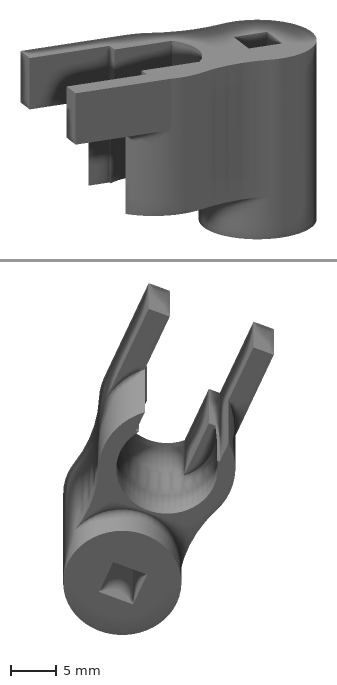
import cadquery as cq
import math

total_height = 21.0
body_height = 16.0
arm_height = 6.0
guide_height = 8.0
lower_bore_height = 4.25
body_bottom = total_height - body_height
arm_bottom = total_height - arm_height

body_radius = 7.5
boss_radius = 13.0 / 2
arm_end_y = -12.72
overall_length = 31.8
boss_x = -0.1
boss_y = overall_length + arm_end_y - boss_radius
neck_radius = 15.0
right_arm_outer_x = 7.4
slot_half_width = 5.0
slot_end_y = -3.1
guide_half_gap = 3.7
upper_bore_radius = 5.35
lower_bore_radius = 5.6
square_side = 4.05


def cylinder(x, y, radius, bottom, top):
    return cq.Workplane("XY", origin=(x, y, bottom)).circle(radius).extrude(top - bottom)


def block(x_min, x_max, y_min, y_max, bottom, top):
    size = (x_max - x_min, y_max - y_min, top - bottom)
    return cq.Workplane("XY").box(*size, centered=False).translate((x_min, y_min, bottom))


def neck_arc(side):
    """Start, middle and end of the concave arc tangent to body and boss; side is -1 or 1."""
    spacing = math.hypot(boss_x, boss_y)
    from_body = body_radius + neck_radius
    from_boss = boss_radius + neck_radius
    along = (from_body**2 - from_boss**2 + spacing**2) / (2 * spacing)
    across = side * math.sqrt(from_body**2 - along**2)
    axis_x = boss_x / spacing
    axis_y = boss_y / spacing
    center_x = along * axis_x + across * axis_y
    center_y = along * axis_y - across * axis_x
    start = (center_x * body_radius / from_body, center_y * body_radius / from_body)
    middle = (center_x - side * neck_radius, center_y)
    end = (
        boss_x + (center_x - boss_x) * boss_radius / from_boss,
        boss_y + (center_y - boss_y) * boss_radius / from_boss,
    )
    return start, middle, end


def neck():
    left_start, left_middle, left_end = neck_arc(-1)
    right_start, right_middle, right_end = neck_arc(1)
    outline = (
        cq.Workplane("XY", origin=(0, 0, body_bottom))
        .moveTo(*left_start)
        .threePointArc(left_middle, left_end)
        .lineTo(*right_end)
        .threePointArc(right_middle, right_start)
        .close()
    )
    return outline.extrude(body_height)


def bore():
    """Upper bore widening through a cone to the lower bore, narrowed by guides near the top."""
    cone_bottom = body_bottom + lower_bore_height
    guide_bottom = total_height - guide_height
    profile = [
        (0, body_bottom),
        (lower_bore_radius, body_bottom),
        (lower_bore_radius, cone_bottom),
        (upper_bore_radius, arm_bottom),
        (upper_bore_radius, total_height),
        (0, total_height),
    ]
    cavity = cq.Workplane("XZ").polyline(profile).close().revolve(360, (0, 0), (0, 1))
    for inner, outer in [(-body_radius, -guide_half_gap), (guide_half_gap, body_radius)]:
        guide = block(inner, outer, slot_end_y, body_radius, guide_bottom, total_height)
        cavity = cavity.cut(guide)
    return cavity


solid = cylinder(0, 0, body_radius, body_bottom, total_height)
solid = solid.union(cylinder(boss_x, boss_y, boss_radius, 0, total_height))
solid = solid.union(neck())
solid = solid.union(block(-body_radius, right_arm_outer_x, arm_end_y, 0, arm_bottom, total_height))

slot = block(-slot_half_width, slot_half_width, arm_end_y, slot_end_y, body_bottom, total_height)
gap = block(-guide_half_gap, guide_half_gap, slot_end_y, 0, body_bottom, total_height)
half_side = square_side / 2
square_hole = block(-half_side, half_side, boss_y - half_side, boss_y + half_side, 0, total_height)
result = solid.cut(slot).cut(gap).cut(bore()).cut(square_hole)